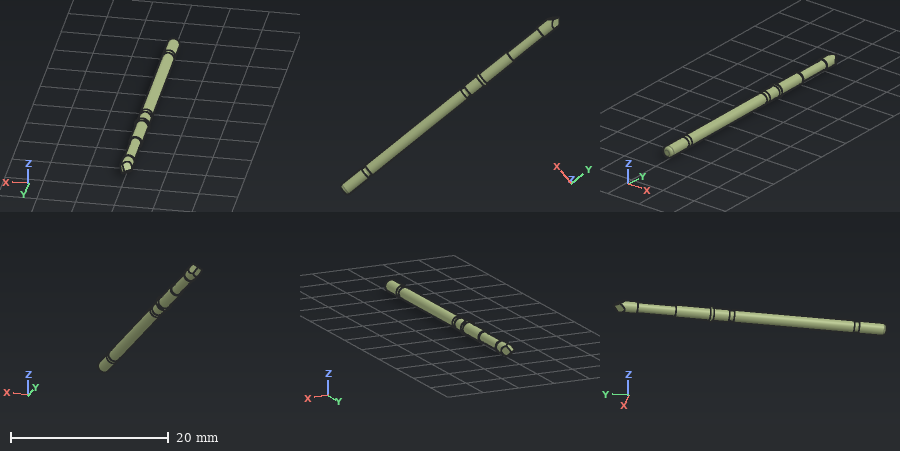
import cadquery as cq
import math

length = 35.4
barrel_diameter = 1.63
tail_fillet = 0.42

head_diameter = 1.6
head_length = 3.05
neck_diameter = 1.38
plunger_length = 8.0

tip_faces = 3
tip_face_angle = 30.0

ring_diameter = 2.0
ring_width = 0.45
ring_center = 22.7

groove_width = 0.65
groove_depth = 0.15
groove_centers = (3.93, 20.15)

barrel_radius = barrel_diameter / 2
head_radius = head_diameter / 2
barrel_length = length - plunger_length


def rod(diameter, start, end):
    """Cylinder along +Y between two stations."""
    plane = cq.Plane(origin=(0, start, 0), xDir=(1, 0, 0), normal=(0, 1, 0))
    return cq.Workplane(plane).circle(diameter / 2).extrude(end - start)


def revolve_about_y(profile):
    """Turn an XY profile around the Y axis."""
    return profile.revolve(360, (0, 0, 0), (0, 1, 0))


def make_barrel():
    return rod(barrel_diameter, 0, barrel_length).faces("<Y").edges().fillet(tail_fillet)


def make_ring():
    half_width = ring_width / 2
    profile = (
        cq.Workplane("XY")
        .moveTo(0, ring_center - half_width)
        .lineTo(barrel_radius, ring_center - half_width)
        .threePointArc((ring_diameter / 2, ring_center), (barrel_radius, ring_center + half_width))
        .lineTo(0, ring_center + half_width)
        .close()
    )
    return revolve_about_y(profile)


def make_groove(center):
    half_width = groove_width / 2
    profile = (
        cq.Workplane("XY")
        .moveTo(barrel_radius, center - half_width)
        .threePointArc((barrel_radius - groove_depth, center), (barrel_radius, center + half_width))
        .lineTo(barrel_diameter, center + half_width)
        .lineTo(barrel_diameter, center - half_width)
        .close()
    )
    return revolve_about_y(profile)


def make_head():
    """Round head sharpened by equal slanted cuts, the first facing +X."""
    head = rod(head_diameter, length - head_length, length)
    face_drop = head_radius / math.tan(math.radians(tip_face_angle))
    wedge = (
        cq.Workplane("XY")
        .moveTo(0, length)
        .lineTo(head_diameter, length - 2 * face_drop)
        .lineTo(head_diameter, length)
        .close()
        .extrude(head_diameter, both=True)
    )
    for index in range(tip_faces):
        head = head.cut(wedge.rotate((0, 0, 0), (0, 1, 0), index * 360 / tip_faces))
    return head


neck = rod(neck_diameter, barrel_length, length - head_length)
result = make_barrel().union(make_ring()).union(neck).union(make_head())
for groove_center in groove_centers:
    result = result.cut(make_groove(groove_center))